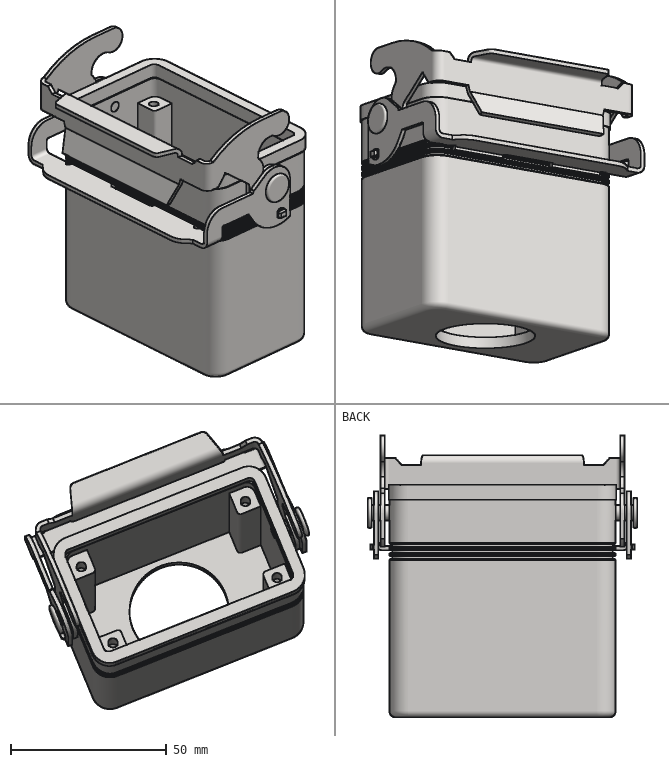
import cadquery as cq
import math

SIDES = (-1, 1)

BODY_X, BODY_Y = 73.0, 43.4
RIM_X, RIM_Y = 73.5, 44.0
CORNER_R = 6.0
HOUSING_TOP = 75.0
RIM_HEIGHT = 4.8
RIM_BOTTOM = HOUSING_TOP - RIM_HEIGHT
BASE_FILLET = 2.0
FLOOR = 3.6

MOUTH_X, MOUTH_Y, MOUTH_R = 65.9, 36.2, 1.8
POCKET_X, POCKET_Y, POCKET_R = 65.2, 36.0, 2.7
FLOOR_OPENING_D = 32.0

GROOVE_COUNT = 3
GROOVE_PITCH = 2.0
GROOVE_MID_Z = 53.5
GROOVE_FLOOR, GROOVE_DEPTH = 0.8, 0.9
GROOVE_LOW = GROOVE_MID_Z - GROOVE_PITCH * (GROOVE_COUNT - 1) / 2 - GROOVE_FLOOR / 2
GROOVE_HIGH = 2 * GROOVE_MID_Z - GROOVE_LOW
GROOVE_CHAMFER = 0.4

BOSS_IN_X, BOSS_IN_Y = 24.75, 10.2
BOSS_TOP = 63.4
BOSS_R = 1.2
BOSS_EMBED = 1.4
SCREW_X, SCREW_Y = 28.6, 13.6
SCREW_R, SCREW_DEPTH = 1.55, 9.1
DRILL_ANGLE = 118

SHEET = 1.5
BEND_R = 2.8
PIVOT_Z = 66.0

PIN_R, PIN_TAIL_R = 2.55, 1.7
HEAD_R, HEAD_FILLET = 4.9, 0.6
HEAD_OUT, HEAD_IN = 43.5, 42.1

LEVER_OUT = 39.4
LEVER_FRONT = -28.2
LEVER_BACK = 9.1
LEVER_TIP_Y, LEVER_TIP_R = 4.4, 4.3
LEVER_TOP = 91.0
HOOK_R = 5.3
LEVER_BACK_ARC_Y, LEVER_BACK_ARC_R = -3.55, 36.8
LEVER_DISC_R = 6.4
LEVER_LOBE_R, LEVER_LOBE_Z = 9.2, 64.25
LEVER_BEND_Y = LEVER_FRONT + BEND_R
HOOK_END_ANGLE = 186
NECK_BACK_Y = -3.0
NECK_TOP, NECK_LOW = (-3.55, 75.35), (NECK_BACK_Y, 74.0)
THROAT_Z = 68.2
THROAT_MID, THROAT_END = (-9.4, 69.3), (-10.2, 70.2)
CROTCH = (-19.9, 77.7)
HEEL_Y = -23.3
BAR_BOTTOM, BAR_SHOULDER, BAR_TOP = 73.6, 83.5, 81.4
BAR_SHOULDER_X, BAR_TOP_X = 34.5, 32.5

GRIP_TOP = 84.6
GRIP_FRONT = -35.9
GRIP_BEND_R = 2.6
GRIP_ROOT_X, GRIP_TIP_X = 26.3, 23.5
GRIP_CORNER_R = 1.8

SKIRT_BEND_Z = 71.5
SKIRT_ANGLE = 25.5
SKIRT_LENGTH = 8.0
SKIRT_ROOT_X, SKIRT_TIP_X = 27.0, 24.0
SKIRT_CORNER_R = 1.2

BAIL_OUT = 41.5
BAIL_IN = BAIL_OUT - SHEET
BAIL_R = 7.0
BAIL_BOTTOM, BAIL_BACK_BOTTOM = 51.1, 52.5
BAIL_ARM_TOP, BAIL_ARM_BOTTOM = 67.0, 60.15
SHOULDER_ANGLE = 125
SHOULDER_FOOT, ARM_ROOT_Y = (-9.2, 67.9), -9.65
ARM_UNDERSIDE_Y = -11.65
LOBE_START, LOBE_MID_Y = (-9.3, 56.6), 1.5
BAIL_LEG_FRONT, BAIL_LEG_BACK = -30.2, -23.3
BAIL_ELBOW_R, BAIL_INNER_R = 7.0, 0.7
SHELF_BOTTOM = 53.9
SHELF_TOP = SHELF_BOTTOM + SHEET
SHELF_FRONT = -33.8
LEG_BEND_Z = SHELF_BOTTOM + BEND_R
LIP_ROOT_X, LIP_FRONT_X = 34.85, 27.8
LIP_KINK, LIP_MID = (32.1, -32.6), (30.1, -33.5)

TAB_IN_X, TAB_OUT_X = 9.7, 28.8
TAB_FACE, TAB_TOE, TAB_BOTTOM = -21.8, -21.7, 52.9
TAB_BEND_R = 1.4
RELIEF_R = 1.0
RELIEF_Y = -24.4

STUD_Y, STUD_Z = 3.1, 55.0
STUD_R, STUD_TALL, STUD_HEIGHT = 1.8, 1.7, 1.2
STUD_RECESS = 0.3
STUD_CHAMFER = 0.7


def block(x0, x1, y0, y1, z0, z1):
    """Axis-aligned box between opposite corners."""
    return cq.Workplane("XY").box(x1 - x0, y1 - y0, z1 - z0, centered=False).translate((x0, y0, z0))


def rounded_block(size_x, size_y, corner_r, z0, z1):
    """Upright block with rounded vertical corners, centred on the Z axis."""
    blank = cq.Workplane("XY").workplane(offset=z0).rect(size_x, size_y).extrude(z1 - z0)
    return blank.edges("|Z").fillet(corner_r)


def cylinder_x(radius, x0, x1, y, z):
    """Cylinder along X between x0 and x1."""
    start = min(x0, x1)
    return cq.Workplane("YZ", origin=(start, y, z)).circle(radius).extrude(abs(x1 - x0))


def outer_shell():
    """Solid outside of the housing: lower body, ribs between the grooves, upper body and rim."""
    lower = rounded_block(BODY_X, BODY_Y, CORNER_R, 0, GROOVE_LOW)
    lower = lower.faces("<Z").edges().fillet(BASE_FILLET)
    lower = lower.faces(">Z").edges().chamfer(GROOVE_CHAMFER)
    upper = rounded_block(BODY_X, BODY_Y, CORNER_R, GROOVE_HIGH, RIM_BOTTOM)
    upper = upper.faces("<Z").edges().chamfer(GROOVE_CHAMFER)
    core = rounded_block(BODY_X - 2 * GROOVE_DEPTH, BODY_Y - 2 * GROOVE_DEPTH, CORNER_R - GROOVE_DEPTH,
                         GROOVE_LOW, GROOVE_HIGH)
    rim = rounded_block(RIM_X, RIM_Y, CORNER_R, RIM_BOTTOM, HOUSING_TOP)
    shell = lower.union(core).union(upper).union(rim)
    for index in range(GROOVE_COUNT - 1):
        rib_low = GROOVE_LOW + GROOVE_FLOOR + index * GROOVE_PITCH
        rib = rounded_block(BODY_X, BODY_Y, CORNER_R, rib_low, rib_low + GROOVE_PITCH - GROOVE_FLOOR)
        shell = shell.union(rib.faces("<Z or >Z").edges().chamfer(GROOVE_CHAMFER))
    return shell


def corner_boss(side_x, side_y):
    """Column in one corner of the pocket, with a screw hole that ends in a drill point."""
    x_far, y_far = POCKET_X / 2 + BOSS_EMBED, POCKET_Y / 2 + BOSS_EMBED
    column = block(BOSS_IN_X, x_far, BOSS_IN_Y, y_far, FLOOR - BOSS_EMBED, BOSS_TOP)
    column = column.edges("|Z and <X and <Y").fillet(BOSS_R)
    point_length = SCREW_R / math.tan(math.radians(DRILL_ANGLE / 2))
    hole = (
        cq.Workplane("XZ", origin=(SCREW_X, SCREW_Y, BOSS_TOP))
        .polyline([(0, 0), (SCREW_R, 0), (SCREW_R, -SCREW_DEPTH), (0, -SCREW_DEPTH - point_length)])
        .close().revolve(360, (0, 0, 0), (0, 1, 0))
    )
    boss = column.cut(hole)
    if side_x < 0:
        boss = boss.mirror("YZ")
    if side_y < 0:
        boss = boss.mirror("XZ")
    return boss


def make_housing():
    """Open housing with stepped pocket, floor opening, screw bosses and two pivot holes."""
    housing = outer_shell()
    housing = housing.cut(rounded_block(POCKET_X, POCKET_Y, POCKET_R, FLOOR, HOUSING_TOP))
    housing = housing.cut(rounded_block(MOUTH_X, MOUTH_Y, MOUTH_R, RIM_BOTTOM, HOUSING_TOP))
    housing = housing.cut(cq.Workplane("XY").circle(FLOOR_OPENING_D / 2).extrude(FLOOR))
    for side_x in SIDES:
        housing = housing.cut(cylinder_x(PIN_TAIL_R, 0, side_x * BODY_X / 2, 0, PIVOT_Z))
        for side_y in SIDES:
            housing = housing.union(corner_boss(side_x, side_y))
    return housing


def circle_point(centre_y, centre_z, radius, degrees):
    """Point on a circle in the YZ plane, measured from +Y towards +Z."""
    angle = math.radians(degrees)
    return (centre_y + radius * math.cos(angle), centre_z + radius * math.sin(angle))


def lever_outline():
    """Side outline of a lever arm, up to the front of the cross bar."""
    tip_z = LEVER_TOP - LEVER_TIP_R
    gap = LEVER_TIP_R + HOOK_R
    hook_z = tip_z - math.sqrt(gap**2 - LEVER_TIP_Y**2)
    meet_angle = math.degrees(math.atan2(tip_z - hook_z, LEVER_TIP_Y))
    hook_mid = (meet_angle + HOOK_END_ANGLE) / 2
    back_z = LEVER_TOP - LEVER_BACK_ARC_R
    back_end = math.degrees(math.acos((LEVER_BEND_Y - LEVER_BACK_ARC_Y) / LEVER_BACK_ARC_R))
    neck_angle = math.degrees(math.acos(NECK_BACK_Y / LEVER_DISC_R))
    return (
        cq.Workplane("YZ")
        .moveTo(LEVER_TIP_Y, LEVER_TOP)
        .threePointArc((LEVER_TIP_Y + LEVER_TIP_R, tip_z),
                       circle_point(LEVER_TIP_Y, tip_z, LEVER_TIP_R, meet_angle - 180))
        .threePointArc(circle_point(0, hook_z, HOOK_R, hook_mid),
                       circle_point(0, hook_z, HOOK_R, HOOK_END_ANGLE))
        .lineTo(*NECK_TOP)
        .lineTo(*NECK_LOW)
        .lineTo(*circle_point(0, PIVOT_Z, LEVER_DISC_R, neck_angle))
        .threePointArc(circle_point(0, PIVOT_Z, LEVER_DISC_R, neck_angle / 2), (LEVER_DISC_R, PIVOT_Z))
        .lineTo(LEVER_DISC_R, LEVER_LOBE_Z - math.sqrt(LEVER_LOBE_R**2 - LEVER_DISC_R**2))
        .threePointArc((0, LEVER_LOBE_Z - LEVER_LOBE_R), (-LEVER_LOBE_R, LEVER_LOBE_Z))
        .lineTo(-LEVER_LOBE_R, THROAT_Z)
        .threePointArc(THROAT_MID, THROAT_END)
        .lineTo(*CROTCH)
        .lineTo(HEEL_Y, BAR_BOTTOM)
        .lineTo(LEVER_FRONT, BAR_BOTTOM)
        .lineTo(LEVER_FRONT, BAR_SHOULDER)
        .lineTo(*circle_point(LEVER_BACK_ARC_Y, back_z, LEVER_BACK_ARC_R, back_end))
        .threePointArc(circle_point(LEVER_BACK_ARC_Y, back_z, LEVER_BACK_ARC_R, (90 + back_end) / 2),
                       (LEVER_BACK_ARC_Y, LEVER_TOP))
        .close()
    )


def lever_frame():
    """Arms and cross bar, bent from one sheet."""
    sheet = block(-LEVER_OUT, LEVER_OUT, LEVER_FRONT, LEVER_BACK, 0, LEVER_TOP)
    sheet = sheet.edges("|Z and <Y").fillet(BEND_R)
    inside = block(SHEET - LEVER_OUT, LEVER_OUT - SHEET, LEVER_FRONT + SHEET, LEVER_BACK, 0, LEVER_TOP)
    sheet = sheet.cut(inside.edges("|Z and <Y").fillet(BEND_R - SHEET))
    frame = lever_outline().extrude(LEVER_OUT, both=True).intersect(sheet)
    low_stretch = (
        cq.Workplane("XZ", origin=(0, LEVER_FRONT, 0))
        .polyline([(-BAR_SHOULDER_X, LEVER_TOP), (-BAR_SHOULDER_X, BAR_SHOULDER), (-BAR_TOP_X, BAR_TOP),
                   (BAR_TOP_X, BAR_TOP), (BAR_SHOULDER_X, BAR_SHOULDER), (BAR_SHOULDER_X, LEVER_TOP)])
        .close().extrude(-SHEET)
    )
    return frame.cut(low_stretch)


def grip_flap():
    """Flap that curves forwards off the top of the cross bar and narrows to its front edge."""
    bend_y, bend_z = LEVER_FRONT + SHEET - GRIP_BEND_R, GRIP_TOP - GRIP_BEND_R
    inner_r = GRIP_BEND_R - SHEET
    back = LEVER_FRONT + SHEET
    section = (
        cq.Workplane("YZ")
        .moveTo(LEVER_FRONT, BAR_TOP).lineTo(back, BAR_TOP).lineTo(back, bend_z)
        .threePointArc(circle_point(bend_y, bend_z, GRIP_BEND_R, 45), (bend_y, GRIP_TOP))
        .lineTo(GRIP_FRONT, GRIP_TOP).lineTo(GRIP_FRONT, GRIP_TOP - SHEET).lineTo(bend_y, GRIP_TOP - SHEET)
        .threePointArc(circle_point(bend_y, bend_z, inner_r, 45), (LEVER_FRONT, bend_z))
        .close().extrude(GRIP_ROOT_X, both=True)
    )
    plan = (
        cq.Workplane("XY", origin=(0, 0, BAR_TOP))
        .polyline([(-GRIP_ROOT_X, back), (-GRIP_TIP_X, GRIP_FRONT),
                   (GRIP_TIP_X, GRIP_FRONT), (GRIP_ROOT_X, back)])
        .close().extrude(GRIP_TOP - BAR_TOP)
    )
    return section.intersect(plan.edges("|Z and <Y").fillet(GRIP_CORNER_R))


def skirt_flap():
    """Flap below the cross bar that leans forwards and narrows to its lower edge."""
    lean = math.radians(SKIRT_ANGLE)
    back = LEVER_FRONT + SHEET
    front_end = (LEVER_FRONT - SKIRT_LENGTH * math.sin(lean), SKIRT_BEND_Z - SKIRT_LENGTH * math.cos(lean))
    back_end = (front_end[0] + SHEET * math.cos(lean), front_end[1] - SHEET * math.sin(lean))
    section = (
        cq.Workplane("YZ")
        .polyline([(LEVER_FRONT, BAR_BOTTOM), (LEVER_FRONT, SKIRT_BEND_Z), front_end, back_end,
                   (back, SKIRT_BEND_Z - SHEET * math.tan(lean / 2)), (back, BAR_BOTTOM)])
        .close().extrude(SKIRT_ROOT_X, both=True)
    )
    face = (
        cq.Workplane("XZ", origin=(0, back, 0))
        .polyline([(-SKIRT_ROOT_X, BAR_BOTTOM), (-SKIRT_TIP_X, back_end[1]),
                   (SKIRT_TIP_X, back_end[1]), (SKIRT_ROOT_X, BAR_BOTTOM)])
        .close().extrude(SKIRT_LENGTH)
    )
    return section.intersect(face.edges("|Y and <Z").fillet(SKIRT_CORNER_R))


def bail_arm_outline():
    """Side outline of a bail arm, down to the start of the bend into the shelf."""
    elbow_y, elbow_z = BAIL_LEG_FRONT + BAIL_ELBOW_R, BAIL_ARM_TOP - BAIL_ELBOW_R
    return (
        cq.Workplane("YZ")
        .moveTo(BAIL_R, PIVOT_Z)
        .threePointArc(circle_point(0, PIVOT_Z, BAIL_R, 90), circle_point(0, PIVOT_Z, BAIL_R, SHOULDER_ANGLE))
        .lineTo(*SHOULDER_FOOT)
        .lineTo(ARM_ROOT_Y, BAIL_ARM_TOP)
        .lineTo(elbow_y, BAIL_ARM_TOP)
        .threePointArc(circle_point(elbow_y, elbow_z, BAIL_ELBOW_R, 135), (BAIL_LEG_FRONT, elbow_z))
        .lineTo(BAIL_LEG_FRONT, LEG_BEND_Z)
        .lineTo(BAIL_LEG_BACK, LEG_BEND_Z)
        .lineTo(BAIL_LEG_BACK, BAIL_ARM_BOTTOM)
        .lineTo(ARM_UNDERSIDE_Y, BAIL_ARM_BOTTOM)
        .lineTo(*LOBE_START)
        .threePointArc((LOBE_MID_Y, BAIL_BOTTOM), (BAIL_R, BAIL_BACK_BOTTOM))
        .close()
    )


def bail_arms():
    """Pair of flat side arms."""
    arm = bail_arm_outline().extrude(SHEET).translate((BAIL_IN, 0, 0))
    inner_corner = cq.NearestToPointSelector((BAIL_IN + SHEET / 2, BAIL_LEG_BACK, BAIL_ARM_BOTTOM))
    arm = arm.edges(inner_corner).fillet(BAIL_INNER_R)
    return arm.union(arm.mirror("YZ"))


def bail_channel():
    """Shelf between the arms, with the two bends that join them."""
    leg_top = BAIL_ARM_BOTTOM - BAIL_INNER_R
    channel = block(-BAIL_OUT, BAIL_OUT, BAIL_LEG_FRONT, BAIL_LEG_BACK, SHELF_BOTTOM, leg_top)
    channel = channel.edges("|Y and <Z").fillet(BEND_R)
    inside = block(-BAIL_IN, BAIL_IN, BAIL_LEG_FRONT, BAIL_LEG_BACK, SHELF_TOP, leg_top)
    return channel.cut(inside.edges("|Y and <Z").fillet(BEND_R - SHEET))


def shelf_lip():
    """Front lip of the shelf, rounded towards its ends."""
    return (
        cq.Workplane("XY", origin=(0, 0, SHELF_BOTTOM))
        .moveTo(-LIP_ROOT_X, BAIL_LEG_FRONT)
        .lineTo(-LIP_KINK[0], LIP_KINK[1])
        .threePointArc((-LIP_MID[0], LIP_MID[1]), (-LIP_FRONT_X, SHELF_FRONT))
        .lineTo(LIP_FRONT_X, SHELF_FRONT)
        .threePointArc(LIP_MID, LIP_KINK)
        .lineTo(LIP_ROOT_X, BAIL_LEG_FRONT)
        .close().extrude(SHEET)
    )


def shelf_reliefs():
    """Notches in the back edge of the shelf on both sides of each tab."""
    middle = block(-TAB_IN_X, TAB_IN_X, RELIEF_Y, BAIL_LEG_BACK, SHELF_BOTTOM, SHELF_TOP)
    reliefs = middle.edges("|Z and <Y").fillet(RELIEF_R)
    for side in SIDES:
        x = side * (TAB_OUT_X + RELIEF_R)
        slot = (
            cq.Workplane("XY", origin=(x, RELIEF_Y + RELIEF_R, SHELF_BOTTOM))
            .slot2D(4 * RELIEF_R, 2 * RELIEF_R, 90).extrude(SHEET).translate((0, RELIEF_R, 0))
        )
        reliefs = reliefs.union(slot)
    return reliefs


def shelf_tabs():
    """Tabs bent down from the back edge of the shelf."""
    bend_y, bend_z = TAB_FACE - TAB_BEND_R, SHELF_TOP - TAB_BEND_R
    tabs = cq.Workplane("XY")
    for side in SIDES:
        tab = (
            cq.Workplane("YZ", origin=(side * (TAB_IN_X + TAB_OUT_X) / 2, 0, 0))
            .moveTo(BAIL_LEG_BACK, SHELF_TOP).lineTo(bend_y, SHELF_TOP)
            .threePointArc(circle_point(bend_y, bend_z, TAB_BEND_R, 45), (TAB_FACE, bend_z))
            .lineTo(TAB_TOE, TAB_BOTTOM).lineTo(BAIL_LEG_BACK, TAB_BOTTOM)
            .close().extrude((TAB_OUT_X - TAB_IN_X) / 2, both=True)
        )
        tabs = tabs.union(tab)
    return tabs


def stop_stud():
    """Low stud with chamfered ends on the outside of the +X arm, as wide as its round recess."""
    stud = block(BAIL_OUT - STUD_RECESS, BAIL_OUT + STUD_HEIGHT, STUD_Y - STUD_R, STUD_Y + STUD_R,
                 STUD_Z - STUD_TALL / 2, STUD_Z + STUD_TALL / 2)
    stud = stud.faces(">X").edges("|Z").chamfer(STUD_CHAMFER)
    return stud.intersect(cylinder_x(STUD_R, BAIL_IN, BAIL_OUT + STUD_HEIGHT, STUD_Y, STUD_Z))


def make_bail():
    """Complete bail: arms, bends, shelf, tabs and studs."""
    bail = bail_arms().union(bail_channel()).union(shelf_lip())
    bail = bail.cut(shelf_reliefs()).union(shelf_tabs())
    recess = cylinder_x(STUD_R, BAIL_OUT - STUD_RECESS, BAIL_OUT, STUD_Y, STUD_Z)
    stud = stop_stud()
    bail = bail.cut(recess).cut(recess.mirror("YZ"))
    return bail.union(stud).union(stud.mirror("YZ"))


def pivot_pin(side):
    """Headed pin whose thinner tail fills the hole through the housing wall."""
    shank = cylinder_x(PIN_R, side * BODY_X / 2, side * HEAD_IN, 0, PIVOT_Z)
    tail = cylinder_x(PIN_TAIL_R, side * POCKET_X / 2, side * BODY_X / 2, 0, PIVOT_Z)
    head = cylinder_x(HEAD_R, side * HEAD_IN, side * HEAD_OUT, 0, PIVOT_Z).edges().fillet(HEAD_FILLET)
    return shank.union(tail).union(head)


def make_latch():
    """Lever, bail and pivot pins, riveted together into one piece."""
    latch = lever_frame().union(grip_flap()).union(skirt_flap()).union(make_bail())
    for side in SIDES:
        latch = latch.union(pivot_pin(side))
    return latch


housing = make_housing()
latch = make_latch()
result = cq.Compound.makeCompound([housing.val(), latch.val()])